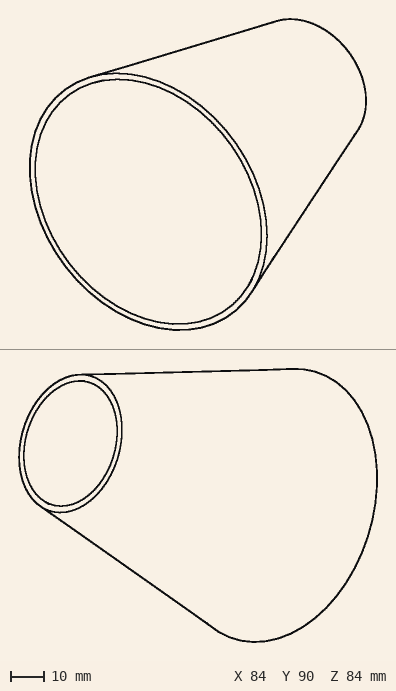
import cadquery as cq

length = 90.0
large_diameter = 84.0
small_diameter = 42.4
wall = 2.0

large_radius = large_diameter / 2
small_radius = small_diameter / 2

wall_section = (
    cq.Workplane("XY")
    .moveTo(large_radius - wall, 0)
    .lineTo(large_radius, 0)
    .lineTo(small_radius, length)
    .lineTo(small_radius - wall, length)
    .close()
)

result = wall_section.revolve(360, (0, 0, 0), (0, 1, 0))